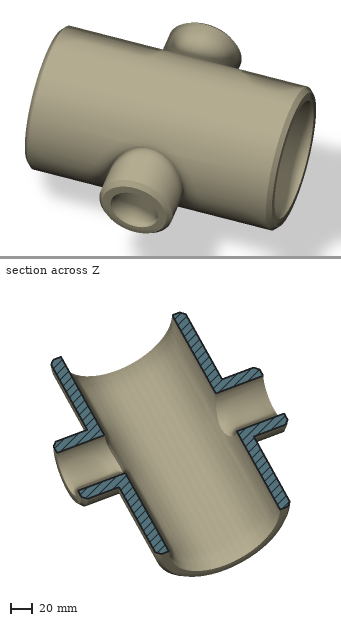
import cadquery as cq

run_length = 248.0
run_diameter = 141.3
run_bore = 116.0

branch_span = 216.0
branch_diameter = 73.5
branch_bore = 47.5

end_bevel = 4.5


def beveled_bar(plane, diameter, length):
    """Solid round bar centred on the origin, beveled at both ends."""
    bar = cq.Workplane(plane).circle(diameter / 2).extrude(length / 2, both=True)
    return bar.edges("%CIRCLE").chamfer(end_bevel)


def through_bore(plane, diameter, length):
    """Cutter that opens a pipe from end to end."""
    return cq.Workplane(plane).circle(diameter / 2).extrude(length / 2, both=True)


body = beveled_bar("YZ", run_diameter, run_length)
body = body.union(beveled_bar("XZ", branch_diameter, branch_span))

result = body.cut(through_bore("YZ", run_bore, run_length))
result = result.cut(through_bore("XZ", branch_bore, branch_span))